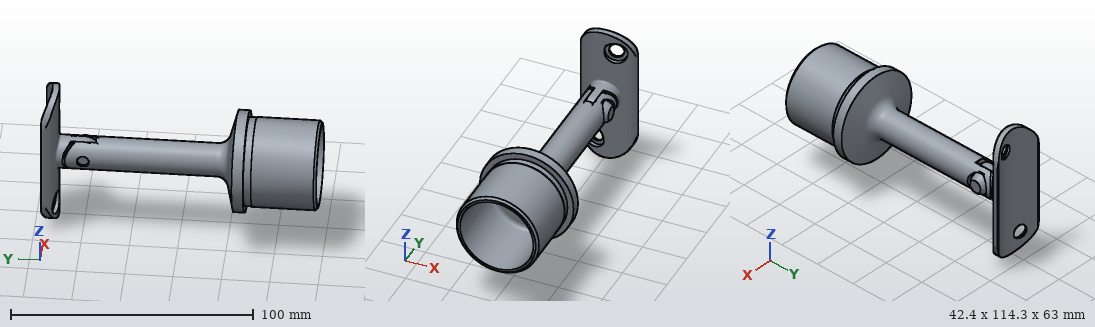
import cadquery as cq
import math

overall_length = 114.3

barrel_dia = 37.3
barrel_chamfer = 1.0
groove_dia = 36.9
groove_start = 27.0
flange_dia = 42.4
flange_start = 30.1
flange_end = 34.6
bore_dia = 33.1
bore_depth = flange_start
bore_fillet = 2.0
cone_angle = 15.0
stem_fillet = 5.1

stem_dia = 14.0
stem_radius = stem_dia / 2
pivot_y = 97.5
fork_radius = 7.5
clearance_radius = 8.5
tongue_width = 4.0

shank_dia = 5.0
head_dia = 10.0
head_tip_dia = 6.0
head_seat_dia = 10.5
head_seat_x = 4.0
head_edge_x = 4.5
head_tip_x = 7.9
head_edge_bulge = 0.2
shank_end_x = -5.5

tube_radius = flange_dia / 2
plate_thickness = 2.9
plate_width = 25.3
plate_height = 63.0
plate_edge_fillet = 3.0
neck_fillet = 0.8
screw_hole_dia = 6.5
screw_recess_dia = 10.0
screw_recess_depth = 2.0
screw_hole_z = 22.5
screw_hole_angle = 12.0

rim_width = 0.8
rim_inner_x = plate_width / 2 - rim_width
tube_axis_y = overall_length + math.sqrt(tube_radius**2 - rim_inner_x**2)
plate_outer_radius = tube_radius + plate_thickness


def disc_x(radius, x_start, x_end):
    """Cylinder around the hinge axis between two X positions."""
    plane = cq.Workplane("YZ", origin=(x_start, 0, 0))
    return plane.center(pivot_y, 0).circle(radius).extrude(x_end - x_start)


def rod_y(diameter, y_start, y_end):
    """Cylinder around the post axis between two Y positions."""
    plane = cq.Workplane("XZ", origin=(0, y_start, 0))
    return plane.circle(diameter / 2).extrude(y_start - y_end)


def make_turned_post():
    """Socket, flange, cone and stem, before the hinge is cut."""
    barrel_radius = barrel_dia / 2
    flange_radius = flange_dia / 2
    slope = math.radians(cone_angle)
    cone_top = flange_end + (flange_radius - stem_radius) * math.tan(slope)

    mid_angle = (math.pi / 2 - slope) / 2
    fillet_run = stem_fillet * math.tan(mid_angle)
    fillet_top = cone_top + fillet_run
    fillet_foot = (
        stem_radius + fillet_run * math.cos(slope),
        cone_top - fillet_run * math.sin(slope),
    )
    fillet_middle = (
        stem_radius + stem_fillet * (1 - math.cos(mid_angle)),
        fillet_top - stem_fillet * math.sin(mid_angle),
    )
    return (
        cq.Workplane("XY")
        .moveTo(0, 0)
        .lineTo(barrel_radius - barrel_chamfer, 0)
        .lineTo(barrel_radius, barrel_chamfer)
        .lineTo(barrel_radius, groove_start)
        .lineTo(groove_dia / 2, groove_start)
        .lineTo(groove_dia / 2, flange_start)
        .lineTo(flange_radius, flange_start)
        .lineTo(flange_radius, flange_end)
        .lineTo(*fillet_foot)
        .threePointArc(fillet_middle, (stem_radius, fillet_top))
        .lineTo(stem_radius, pivot_y)
        .lineTo(0, pivot_y)
        .close()
        .revolve(360, (0, 0, 0), (0, 1, 0))
    )


def make_post():
    """Turned post with its socket bore, hinge fork and screw seat."""
    bore = rod_y(bore_dia, 0, bore_depth).faces(">Y").edges().fillet(bore_fillet)
    fork_blank = rod_y(stem_dia, pivot_y, pivot_y + fork_radius)
    fork = fork_blank.intersect(disc_x(fork_radius, -stem_radius, stem_radius))
    slot = disc_x(clearance_radius, -tongue_width / 2, tongue_width / 2)
    shank_hole = disc_x(shank_dia / 2, -stem_radius, stem_radius)
    head_seat = disc_x(head_seat_dia / 2, head_seat_x, stem_radius)
    post = make_turned_post().union(fork)
    return post.cut(bore).cut(slot).cut(shank_hole).cut(head_seat)


def make_screw():
    """Half profile of shank and round-edged head, turned around the hinge axis."""
    edge_middle = (
        (head_edge_x + head_tip_x) / 2 + head_edge_bulge,
        pivot_y + (head_dia + head_tip_dia) / 4 + head_edge_bulge,
    )
    shank_radius = shank_dia / 2
    return (
        cq.Workplane("XY")
        .moveTo(shank_end_x, pivot_y)
        .lineTo(shank_end_x, pivot_y + shank_radius)
        .lineTo(head_seat_x, pivot_y + shank_radius)
        .lineTo(head_seat_x, pivot_y + head_dia / 2)
        .lineTo(head_edge_x, pivot_y + head_dia / 2)
        .threePointArc(edge_middle, (head_tip_x, pivot_y + head_tip_dia / 2))
        .lineTo(head_tip_x, pivot_y)
        .close()
        .revolve(360, (0, pivot_y, 0), (1, pivot_y, 0))
    )


def make_plate():
    """Curved plate with full-round ends and rounded long edges."""
    half_width = plate_width / 2
    half_height = plate_height / 2
    outer_edge_y = tube_axis_y - math.sqrt(plate_outer_radius**2 - half_width**2)
    blank = (
        cq.Workplane("XY", origin=(0, 0, -half_height))
        .moveTo(-half_width, overall_length)
        .lineTo(-half_width, outer_edge_y)
        .threePointArc((0, tube_axis_y - plate_outer_radius), (half_width, outer_edge_y))
        .lineTo(half_width, overall_length)
        .lineTo(rim_inner_x, overall_length)
        .threePointArc((0, tube_axis_y - tube_radius), (-rim_inner_x, overall_length))
        .close()
        .extrude(plate_height)
    )
    long_edges = cq.selectors.BoxSelector(
        (-plate_width, outer_edge_y - rim_width, -half_height),
        (plate_width, outer_edge_y + rim_width, half_height),
    )
    blank = blank.edges("|Z").edges(long_edges).fillet(plate_edge_fillet)
    outline = (
        cq.Workplane("XZ")
        .slot2D(plate_height, plate_width, 90)
        .extrude(-2 * overall_length)
    )
    return blank.intersect(outline)


def make_screw_hole(side):
    """Recessed hole aimed at the tube axis; side is the sign of its X and Z."""
    angle = math.radians(screw_hole_angle)
    inward = cq.Vector(-side * math.sin(angle), math.cos(angle), 0)
    tube_centre = cq.Vector(0, tube_axis_y, side * screw_hole_z)
    floor = tube_centre - inward * (plate_outer_radius - screw_recess_depth)
    hole = cq.Solid.makeCylinder(screw_hole_dia / 2, plate_thickness, floor, inward)
    recess = cq.Solid.makeCylinder(
        screw_recess_dia / 2, plate_thickness, floor, inward * -1
    )
    return cq.Workplane(hole).union(cq.Workplane(recess))


def make_saddle():
    """Plate and neck, with a ball-ended tongue that fills the fork slot."""
    plate_outer_y = tube_axis_y - plate_outer_radius
    neck = rod_y(stem_dia, pivot_y, plate_outer_y + plate_thickness / 2)
    saddle = make_plate().union(neck)
    neck_foot = cq.selectors.BoxSelector(
        (-stem_radius, plate_outer_y - plate_thickness / 2, -stem_radius),
        (stem_radius, plate_outer_y + plate_thickness / 2, stem_radius),
    )
    saddle = saddle.edges(neck_foot).fillet(neck_fillet)

    ball = cq.Workplane("XY", origin=(0, pivot_y, 0)).sphere(stem_radius)
    saddle = saddle.union(ball)
    for side in (1, -1):
        clearance = disc_x(clearance_radius, side * tongue_width / 2, side * stem_dia)
        saddle = saddle.cut(clearance)
        saddle = saddle.cut(make_screw_hole(side))
    return saddle.cut(disc_x(shank_dia / 2, -tongue_width, tongue_width))


post = make_post()
saddle = make_saddle()
screw = make_screw()

result = cq.Compound.makeCompound([post.solids().val(), saddle.solids().val(), screw.val()])